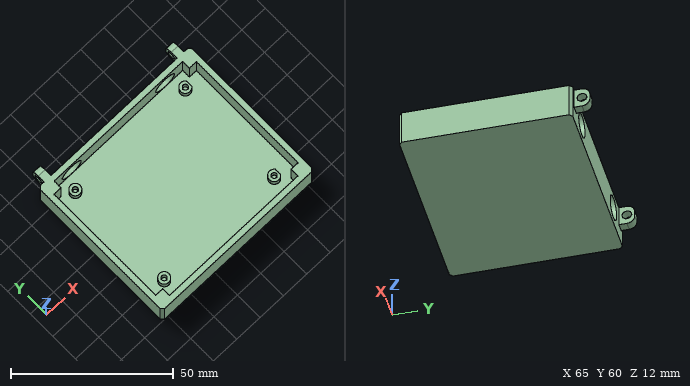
import cadquery as cq

width = 65.0
depth = 55.0
height = 12.0
wall = 2.0
floor = 2.0
corner_chamfer = 1.0
corner_block = 3.0

lug_length = 5.0
lug_thickness = 3.0
lug_height = 7.0
lug_inset = 2.55
lug_radius = 2.5
pin_diameter = 3.0

post_diameter = 4.0
post_hole_diameter = 1.9
post_height = 3.0
post_spacing_x = 47.1
post_spacing_y = 39.3
post_center_x = 0.2
post_center_y = 0.8
post_flat_offset = 1.6

cable_hole_diameter = 8.0
cable_hole_spacing = 40.0
cable_hole_z = 6.05

back = depth / 2


def make_tray():
    outer = cq.Workplane("XY").box(width, depth, height, centered=(True, True, False))
    outer = outer.edges("|Z").chamfer(corner_chamfer)
    inner_width = width - 2 * wall
    inner_depth = depth - 2 * wall
    cavity_floor = cq.Workplane("XY").workplane(offset=floor)
    long_part = cavity_floor.rect(inner_width, inner_depth - 2 * corner_block).extrude(height)
    wide_part = cavity_floor.rect(inner_width - 2 * corner_block, inner_depth).extrude(height)
    return outer.cut(long_part.union(wide_part))


def make_lug(side):
    center_x = side * (width / 2 - lug_inset - lug_thickness / 2)
    root = wall / 2
    lug = (
        cq.Workplane("XY")
        .box(lug_thickness, lug_length + root, lug_height)
        .edges("|X and >Y")
        .fillet(lug_radius)
        .translate((center_x, back + (lug_length - root) / 2, height - lug_height / 2))
    )
    pin_hole = (
        cq.Workplane("YZ")
        .center(back + lug_length / 2, height - lug_height / 2)
        .circle(pin_diameter / 2)
        .extrude(lug_thickness, both=True)
        .translate((center_x, 0, 0))
    )
    return lug.cut(pin_hole)


def make_posts(diameter):
    return (
        cq.Workplane("XY", origin=(post_center_x, post_center_y, floor))
        .rarray(post_spacing_x, post_spacing_y, 2, 2)
        .circle(diameter / 2)
        .extrude(post_height)
    )


def trim_flats(posts):
    flat_x = post_center_x + post_spacing_x / 2 + post_flat_offset
    beyond_flat = cq.Workplane("XY").box(
        post_diameter, depth, height, centered=(False, True, False)
    )
    return posts.cut(beyond_flat.translate((flat_x, 0, 0)))


def make_cable_holes():
    return (
        cq.Workplane("XZ", origin=(0, back, cable_hole_z))
        .rarray(cable_hole_spacing, 0.65, 2, 1)
        .circle(cable_hole_diameter / 2)
        .extrude(wall)
    )


result = make_tray().cut(make_cable_holes())
for side in (-1, 1):
    result = result.union(make_lug(side))
result = result.union(trim_flats(make_posts(post_diameter))).cut(make_posts(post_hole_diameter))